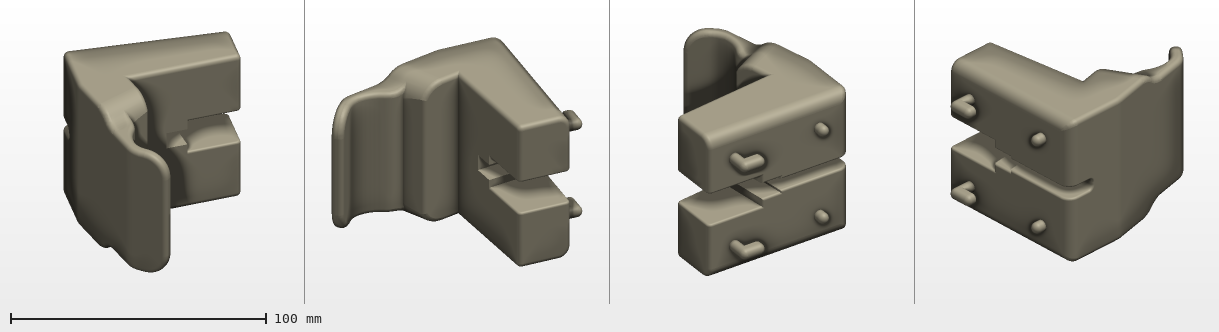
import cadquery as cq
import math

HALF_HEIGHT = 32.49
EDGE_ROUND = 2.0
MOUNT_ROUND = 5.0
CLEARANCE = 8.8
FAR = 88.2

MOUNT_TILT = 7
MOUNT_LENGTH = 67.1
FRONT_LENGTH = 27.95
FRONT_TILT = 6
BEND_RADIUS = 10.0
INNER_X = 30.3
LEDGE_Y = 17.45
LEDGE_END_X = 46.6
LEDGE_END_TILT = 26

TIP_ANGLE = 43
TIP_THICKNESS = 5.0
TIP_BEND_X = 70.3
TIP_LENGTH = 12.4
TIP_CORNER_RADIUS = 10.0
VALLEY = (67.3, 5.8)
TIP_HOLLOW_RADIUS = 9.0
HUMP_HOLLOW_RADIUS = 15.0
HUMP_RADIUS = 10.0
HUMP_SLOPE = 35
ROOT_X = 35.3

STEP_TILT = 22
STEP_START_X = 45.1
STEP_HEIGHT = 5.0
STEP_RADIUS = 10.0
STEP_SPAN = 37.0

WIDE_SLOT_WIDTH = 14.0
WIDE_SLOT_END_Y = 41.35
MIDDLE_SLOT_WIDTH = 7.0
MIDDLE_SLOT_END_Y = 32.7
GROOVE_WIDTH = 5.0
GROOVE_DEPTH = 13.1
GROOVE_CORNER_RADIUS = 2.0
GROOVE_SPAN = 45.8
SLOT_ROUND = 1.0

PIN_RADIUS = 4.8 / 2
PIN_Z = 20.0
PIN_DISTANCE = 15.0
PIN_REACH = 5.0
POST_ROOT = 5.3
HOOK_DISTANCE = 55.0
HOOK_REACH = 9.9
HOOK_THICKNESS = 4.9
HOOK_DROP = 6.4
HOOK_FRONT_ROUND = 2.3
HOOK_BACK_ROUND = 1.0

TOLERANCE = 0.01


def direction(angle):
    """Unit vector in XY at an angle from +X."""
    return cq.Vector(math.cos(math.radians(angle)), math.sin(math.radians(angle)), 0)


def at(point):
    return (point.x, point.y)


def meet(point_a, angle_a, point_b, angle_b):
    """Intersection of two lines in XY, each given by a point and an angle."""
    a = direction(angle_a)
    b = direction(angle_b)
    gap = point_b - point_a
    return point_a + a * (gap.cross(b).z / a.cross(b).z)


def arc_from(start, heading, turn, radius):
    """Middle and end of an arc leaving start along heading, turning left if turn is positive."""
    side = math.copysign(90, turn)
    center = start + direction(heading + side) * radius
    middle = center + direction(heading - side + turn / 2) * radius
    end = center + direction(heading - side + turn) * radius
    return at(middle), end


def front_point(x):
    """Point of the front face beyond the bend."""
    return meet(bend, FRONT_TILT, cq.Vector(x, 0, 0), 90)


corner = cq.Vector(0, 0, 0)
along_mount = direction(90 - MOUNT_TILT)
along_front = direction(-MOUNT_TILT)
mount_end = along_mount * MOUNT_LENGTH
bend = along_front * FRONT_LENGTH
inner_corner = cq.Vector(INNER_X, LEDGE_Y, 0)
leg_end = meet(inner_corner, 90, mount_end, -MOUNT_TILT)
ledge_end = meet(inner_corner, FRONT_TILT, cq.Vector(LEDGE_END_X, 0, 0), 90)

tip_bend_start = front_point(TIP_BEND_X)
tip_bend_middle, tip_bend_end = arc_from(tip_bend_start, FRONT_TILT, TIP_ANGLE - FRONT_TILT, BEND_RADIUS)
tip_outer = tip_bend_end + direction(TIP_ANGLE) * TIP_LENGTH
tip_inner = tip_outer + direction(TIP_ANGLE + 90) * TIP_THICKNESS

step_plane = cq.Plane(
    origin=front_point(STEP_START_X).toTuple(),
    xDir=direction(STEP_TILT).toTuple(),
    normal=direction(90 + STEP_TILT).toTuple(),
)
mount_plane = cq.Plane(origin=(0, 0, 0), xDir=along_front.toTuple(), normal=along_mount.toTuple())


class Edges(cq.Selector):
    """Edges that satisfy a test."""

    def __init__(self, test):
        self.test = test

    def filter(self, edges):
        return [edge for edge in edges if self.test(edge)]


def upright_at(*points):
    """Test for edges along Z through one of the points."""
    def test(edge):
        center = edge.Center()
        upright = abs(edge.tangentAt(0).z) > 1 - TOLERANCE
        return upright and any(math.dist(at(center), at(point)) < TOLERANCE for point in points)
    return test


def on_face(point, angle):
    """Test for edges, other than those along Z, in the upright plane through point at angle."""
    def test(edge):
        ends = (edge.startPoint(), edge.endPoint(), edge.Center())
        flat = all(abs((end - point).cross(direction(angle)).z) < TOLERANCE for end in ends)
        return flat and abs(edge.tangentAt(0).z) < 1 - TOLERANCE
    return test


def either(*tests):
    return Edges(lambda edge: any(test(edge) for test in tests))


def start_outline(point):
    return cq.Workplane("XY", origin=(0, 0, -HALF_HEIGHT)).moveTo(*at(point))


def start_cutter():
    return cq.Workplane(step_plane).workplane(offset=-CLEARANCE).moveTo(0, HALF_HEIGHT)


def finish_cutter(outline, level):
    """Clear everything beyond the curved outline above level, on the +Z and the -Z side."""
    top = HALF_HEIGHT + CLEARANCE
    upper = outline.lineTo(FAR, level).lineTo(FAR, top).lineTo(0, top).close().extrude(STEP_SPAN)
    return upper.union(upper.mirror("XY"))


def ledge_corner_cutter():
    """Quarter round over the full corner of the ledge end."""
    level = HALF_HEIGHT - STEP_RADIUS
    diagonal = STEP_RADIUS * math.sqrt(0.5)
    outline = start_cutter().threePointArc((diagonal, level + diagonal), (STEP_RADIUS, level))
    return finish_cutter(outline, level)


def step_cutter():
    """Two equal tangent arcs, convex then concave."""
    length = math.sqrt(STEP_HEIGHT * (4 * STEP_RADIUS - STEP_HEIGHT))
    half_turn = math.asin(length / 2 / STEP_RADIUS) / 2
    run = STEP_RADIUS * math.sin(half_turn)
    rise = STEP_RADIUS * (1 - math.cos(half_turn))
    level = HALF_HEIGHT - STEP_HEIGHT
    outline = (
        start_cutter()
        .threePointArc((run, HALF_HEIGHT - rise), (length / 2, HALF_HEIGHT - STEP_HEIGHT / 2))
        .threePointArc((length - run, level + rise), (length, level))
    )
    return finish_cutter(outline, level)


def leg():
    """Mounting leg and ledge; the foot of the ledge end runs on inside the blade."""
    turn = MOUNT_TILT + FRONT_TILT
    bend_start = bend - along_front * (BEND_RADIUS * math.tan(math.radians(turn / 2)))
    bend_middle, bend_end = arc_from(bend_start, -MOUNT_TILT, turn, BEND_RADIUS)
    buried_foot = meet(ledge_end, 90 + LEDGE_END_TILT, bend, FRONT_TILT)
    outline = (
        start_outline(corner)
        .lineTo(*at(bend_start))
        .threePointArc(bend_middle, at(bend_end))
        .lineTo(*at(buried_foot))
        .lineTo(*at(ledge_end))
        .lineTo(*at(inner_corner))
        .lineTo(*at(leg_end))
        .lineTo(*at(mount_end))
        .close()
    )
    return outline.extrude(2 * HALF_HEIGHT).cut(ledge_corner_cutter())


def blade():
    """Handle blade with its hollow, rounded tip corners and rounded inner edges."""
    valley = cq.Vector(*VALLEY)
    tip_hollow_middle, tip_hollow_end = arc_from(valley, 0, TIP_ANGLE, TIP_HOLLOW_RADIUS)
    hollow_middle, hollow_end = arc_from(valley, 180, -HUMP_SLOPE, HUMP_HOLLOW_RADIUS)
    hump_middle, hump_end = arc_from(hollow_end, 180 - HUMP_SLOPE, HUMP_SLOPE + FRONT_TILT, HUMP_RADIUS)
    root_top = meet(hump_end, FRONT_TILT, cq.Vector(ROOT_X, 0, 0), 90)
    outline = (
        start_outline(front_point(ROOT_X))
        .lineTo(*at(tip_bend_start))
        .threePointArc(tip_bend_middle, at(tip_bend_end))
        .lineTo(*at(tip_outer))
        .lineTo(*at(tip_inner))
        .lineTo(*at(tip_hollow_end))
        .threePointArc(tip_hollow_middle, at(valley))
        .threePointArc(hollow_middle, at(hollow_end))
        .threePointArc(hump_middle, at(hump_end))
        .lineTo(*at(root_top))
        .close()
    )
    solid = outline.extrude(2 * HALF_HEIGHT).cut(step_cutter())
    tip_corners = either(on_face(tip_outer, TIP_ANGLE + 90))
    solid = solid.edges(tip_corners).fillet(TIP_CORNER_RADIUS)
    inner_edges = either(on_face(tip_inner, TIP_ANGLE), upright_at(tip_inner))
    return solid.edges(inner_edges).fillet(EDGE_ROUND)


def round_outer_edges(solid):
    mount_edges = either(on_face(corner, 90 - MOUNT_TILT), upright_at(corner))
    solid = solid.edges(mount_edges).fillet(MOUNT_ROUND)
    remaining_edges = either(
        on_face(corner, -MOUNT_TILT),
        on_face(bend, FRONT_TILT),
        on_face(inner_corner, 90),
        on_face(inner_corner, FRONT_TILT),
        on_face(mount_end, -MOUNT_TILT),
        upright_at(mount_end, leg_end, ledge_end, tip_outer),
    )
    return solid.edges(remaining_edges).fillet(EDGE_ROUND)


def slot_cutter(width, end):
    """Block through the leg, centered on Z = 0, from Y = end past the free end of the leg."""
    return cq.Workplane("XY").box(FAR, FAR, width, centered=(True, False, True)).translate((0, end, 0))


def groove_cutter():
    """Channel along the mounting face with rounded bottom corners."""
    bottom_x = GROOVE_DEPTH - GROOVE_CORNER_RADIUS
    half_width = GROOVE_WIDTH / 2
    half_flat = half_width - GROOVE_CORNER_RADIUS
    outline = (
        cq.Workplane(mount_plane)
        .workplane(offset=-CLEARANCE)
        .moveTo(-CLEARANCE, -half_width)
        .lineTo(bottom_x, -half_width)
        .radiusArc((GROOVE_DEPTH, -half_flat), -GROOVE_CORNER_RADIUS)
        .lineTo(GROOVE_DEPTH, half_flat)
        .radiusArc((bottom_x, half_width), -GROOVE_CORNER_RADIUS)
        .lineTo(-CLEARANCE, half_width)
        .close()
    )
    return outline.extrude(GROOVE_SPAN)


def at_slot_mouth(edge):
    center = edge.Center()
    on_mount = abs(center.dot(along_front)) < TOLERANCE
    return on_mount and abs(center.z) < WIDE_SLOT_WIDTH / 1.8 + TOLERANCE


def cut_slot(solid):
    solid = (
        solid.cut(slot_cutter(WIDE_SLOT_WIDTH, WIDE_SLOT_END_Y))
        .cut(slot_cutter(MIDDLE_SLOT_WIDTH, MIDDLE_SLOT_END_Y))
        .cut(groove_cutter())
    )
    return solid.edges(Edges(at_slot_mouth)).fillet(SLOT_ROUND)


def post(distance, reach, z):
    """Round post that rises from inside the leg to reach above the mounting face."""
    start = along_mount * distance + along_front * POST_ROOT + cq.Vector(0, 0, z)
    return cq.Workplane(cq.Solid.makeCylinder(PIN_RADIUS, POST_ROOT + reach, start, along_front * -1))


def pin(z):
    """Post with a ball end."""
    ball_reach = PIN_REACH - PIN_RADIUS
    ball_center = along_mount * PIN_DISTANCE - along_front * ball_reach + cq.Vector(0, 0, z)
    ball = cq.Workplane("XY").sphere(PIN_RADIUS).translate(ball_center.toTuple())
    return post(PIN_DISTANCE, ball_reach, z).union(ball)


def hook(z):
    """Stem with a round-ended bar at its tip that hangs down along the mounting face."""
    back_reach = HOOK_REACH - HOOK_THICKNESS
    back = along_mount * HOOK_DISTANCE - along_front * back_reach + cq.Vector(0, 0, z)
    hook_plane = cq.Plane(
        origin=back.toTuple(),
        xDir=along_mount.toTuple(),
        normal=(along_front * -1).toTuple(),
    )
    bar = (
        cq.Workplane(hook_plane)
        .center(-HOOK_DROP / 2, 0)
        .slot2D(HOOK_DROP + 2 * PIN_RADIUS, 2 * PIN_RADIUS)
        .extrude(HOOK_THICKNESS)
    )
    bar = bar.faces(cq.selectors.DirectionMinMaxSelector(hook_plane.zDir)).edges().fillet(HOOK_FRONT_ROUND)
    bar = bar.faces(cq.selectors.DirectionMinMaxSelector(hook_plane.zDir * -1)).edges().fillet(HOOK_BACK_ROUND)
    return post(HOOK_DISTANCE, back_reach + PIN_RADIUS, z).union(bar)


result = cut_slot(round_outer_edges(leg().union(blade())))
for z in (-PIN_Z, PIN_Z):
    result = result.union(pin(z)).union(hook(z))